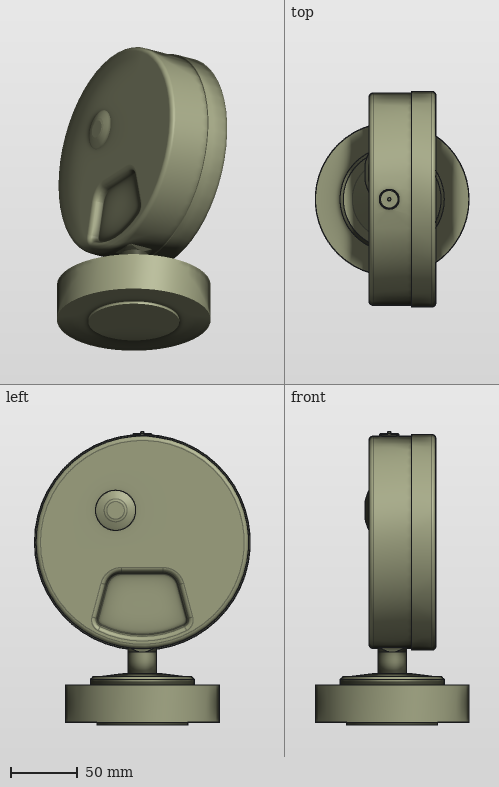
import cadquery as cq
import math

base_diameter = 115.0
foot_diameter = 68.0
foot_height = 2.0
base_top = 30.0
flange_diameter = 78.0
flange_top = 36.5
flange_chamfer = 2.5
dome_diameter = 59.7
plateau_diameter = 28.0
plateau_top = 38.5

stem_diameter = 21.5
head_taper = -45.0
stem_top = 54.5
head_height = 6.5

axis_height = 136.5
housing_diameter = 159.0
rim_diameter = 161.3
face_x = -17.3
rim_x = 14.5
back_x = 32.7
edge_fillet = 3.3

knob_diameter = 30.0
knob_ring_diameter = 17.1
knob_flat_diameter = 13.2
knob_y = 20.0
knob_z = 160.5
knob_height = 2.9
knob_ring_height = 2.5

button_x = -2.2
button_diameter = 15.0
button_top = 217.7
button_chamfer = 0.9
pin_diameter = 2.5
pin_top = 219.5
pin_fillet = 0.9

pocket_depth = 7.5
pocket_lip = 3.5
pocket_floor_fillet = 0.7
pocket_draft = 15.0
pocket_top = 115.0
pocket_bottom_radius = 71.1
pocket_side_slope = 15.0
pocket_top_half_width = 25.7
pocket_top_radius = 13.2
pocket_bottom_corner_radius = 6.1


def make_pedestal():
    """Turned foot, base, flange, domed cap and stem."""
    flange_radius = flange_diameter / 2
    profile = [
        (0, 0),
        (foot_diameter / 2, 0),
        (foot_diameter / 2, foot_height),
        (base_diameter / 2, foot_height),
        (base_diameter / 2, base_top),
        (flange_radius, base_top),
        (flange_radius, flange_top - flange_chamfer),
        (flange_radius - flange_chamfer, flange_top),
        (dome_diameter / 2, flange_top),
        (plateau_diameter / 2, plateau_top),
        (stem_diameter / 2, plateau_top),
        (stem_diameter / 2, stem_top),
        (0, stem_top),
    ]
    return cq.Workplane("XZ").polyline(profile).close().revolve(360, (0, 0), (0, 1))


def make_head():
    """Square head whose lower corners are cut by a cone."""
    square = cq.Workplane("XY").workplane(offset=stem_top).rect(stem_diameter, stem_diameter)
    cone = cq.Workplane("XY").workplane(offset=stem_top).circle(stem_diameter / 2)
    return square.extrude(head_height).intersect(cone.extrude(head_height, taper=head_taper))


def x_disc(diameter, start_x, end_x):
    plane = cq.Workplane("YZ", origin=(start_x, 0, axis_height))
    return plane.circle(diameter / 2).extrude(end_x - start_x)


def make_housing():
    drum = x_disc(housing_diameter, face_x, back_x - edge_fillet).faces("<X").edges().fillet(edge_fillet)
    rim = x_disc(rim_diameter, rim_x, back_x).faces(">X").edges().fillet(edge_fillet)
    return drum.union(rim)


def make_knob():
    """Domed knob, with a narrow conical ring around its flat centre."""
    outer = knob_diameter / 2
    ring = knob_ring_diameter / 2
    centre = (ring**2 + knob_ring_height**2 - outer**2) / (2 * knob_ring_height)
    dome_radius = math.hypot(outer, centre)
    mid_radius = (outer + ring) / 2
    mid_height = centre + math.sqrt(dome_radius**2 - mid_radius**2)
    knob = (
        cq.Workplane("XZ")
        .moveTo(0, 0)
        .lineTo(outer, 0)
        .threePointArc((mid_radius, mid_height), (ring, knob_ring_height))
        .lineTo(knob_flat_diameter / 2, knob_height)
        .lineTo(0, knob_height)
        .close()
        .revolve(360, (0, 0), (0, 1))
    )
    return knob.rotate((0, 0, 0), (0, 1, 0), -90).translate((face_x, knob_y, knob_z))


def make_button():
    root = cq.Workplane("XY", origin=(button_x, 0, axis_height + housing_diameter / 2 - edge_fillet))
    root_z = root.plane.origin.z
    button = root.circle(button_diameter / 2).extrude(button_top - root_z)
    button = button.faces(">Z").edges().chamfer(button_chamfer)
    pin = root.circle(pin_diameter / 2).extrude(pin_top - root_z)
    return button.union(pin.faces(">Z").edges().fillet(pin_fillet))


def make_pocket():
    """Fan-shaped recess: straight top, flared sides, round bottom concentric with the housing."""
    flare = math.tan(math.radians(pocket_side_slope))
    top = pocket_top - axis_height
    reach = pocket_top_half_width + flare * top
    a = 1 + flare**2
    b = -2 * reach * flare
    c = reach**2 - pocket_bottom_radius**2
    corner_z = (-b - math.sqrt(b**2 - 4 * a * c)) / (2 * a)
    corner_y = reach - flare * corner_z
    fan = (
        cq.Workplane("YZ", origin=(face_x, 0, axis_height))
        .moveTo(-pocket_top_half_width, top)
        .lineTo(pocket_top_half_width, top)
        .lineTo(corner_y, corner_z)
        .threePointArc((0, -pocket_bottom_radius), (-corner_y, corner_z))
        .close()
        .extrude(pocket_depth)
    )
    middle_z = axis_height + (top + corner_z) / 2
    span = housing_diameter
    upper = cq.selectors.BoxSelector((-span, -span, middle_z), (span, span, axis_height))
    lower = cq.selectors.BoxSelector((-span, -span, 0), (span, span, middle_z))
    fan = fan.newObject(fan.edges("|X").edges(upper).vals()).fillet(pocket_top_radius)
    fan = fan.newObject(fan.edges("|X").edges(lower).vals()).fillet(pocket_bottom_corner_radius)
    outline = fan.faces("<X").wires().val()
    plane = cq.Workplane("YZ", origin=(face_x, 0, 0))
    pocket = plane.add(outline).toPending().extrude(pocket_depth, taper=pocket_draft)
    return pocket.faces(">X").edges().fillet(pocket_floor_fillet)


housing = make_housing().cut(make_pocket())
margin = 0.2
lip_zone = cq.selectors.BoxSelector(
    (face_x - margin, -pocket_bottom_radius, axis_height - pocket_bottom_radius - margin),
    (face_x + margin, pocket_bottom_radius, pocket_top + margin),
)
housing = housing.edges(lip_zone).fillet(pocket_lip)

result = make_pedestal().union(make_head()).union(housing).union(make_knob()).union(make_button())